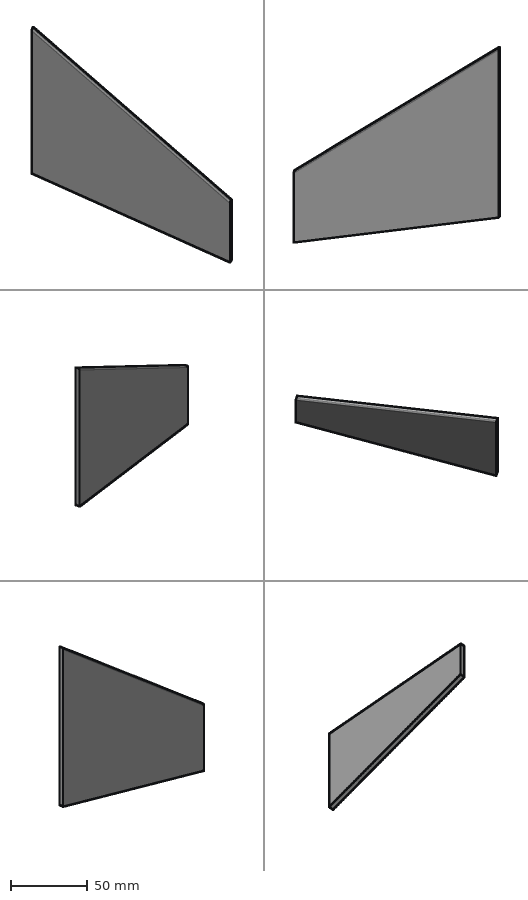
import cadquery as cq

span = 139.6
thickness = 3.3
root_top = 154.8
root_bottom = 34.0
tip_top = 50.8
edge_radius = 1.0

outline = [
    (0, root_bottom),
    (span, 0),
    (span, tip_top),
    (0, root_top),
]
plate = cq.Workplane("XZ").polyline(outline).close().extrude(thickness / 2, both=True)

result = plate.faces(">Z").edges("#Y").fillet(edge_radius)